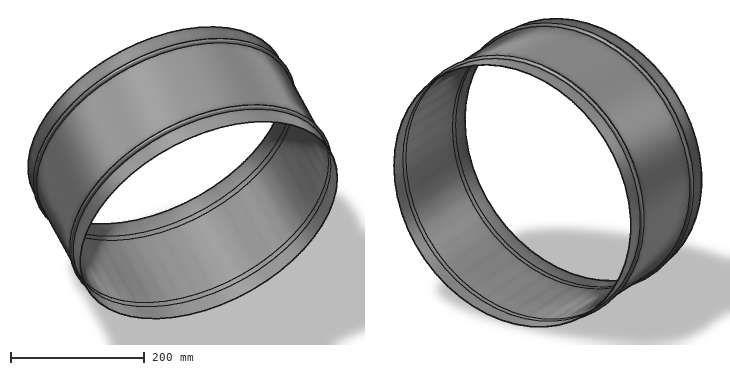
import cadquery as cq

LENGTH = 200.0
OUTER_DIAMETER = 419.0
WALL = 1.0
BEAD_RADIUS = 4.5
BEAD_END_DISTANCE = 30.0

outer_radius = OUTER_DIAMETER / 2
inner_radius = outer_radius - WALL
bead_offset = LENGTH / 2 - BEAD_END_DISTANCE


def revolve_about_x(profile):
    """Turn a closed XY profile one full revolution about the X axis."""
    return profile.revolve(360, (0, 0, 0), (1, 0, 0))


def make_sleeve():
    """Plain thin-walled tube centred on the origin."""
    half_length = LENGTH / 2
    return revolve_about_x(
        cq.Workplane("XY")
        .moveTo(-half_length, inner_radius)
        .lineTo(-half_length, outer_radius)
        .lineTo(half_length, outer_radius)
        .lineTo(half_length, inner_radius)
        .close()
    )


def make_bead(center_x):
    """Solid half-round ring, flush with the bore of the sleeve."""
    return revolve_about_x(
        cq.Workplane("XY")
        .moveTo(center_x - BEAD_RADIUS, inner_radius)
        .threePointArc(
            (center_x, inner_radius + BEAD_RADIUS),
            (center_x + BEAD_RADIUS, inner_radius),
        )
        .close()
    )


result = make_sleeve()
for bead_x in (-bead_offset, bead_offset):
    result = result.union(make_bead(bead_x))